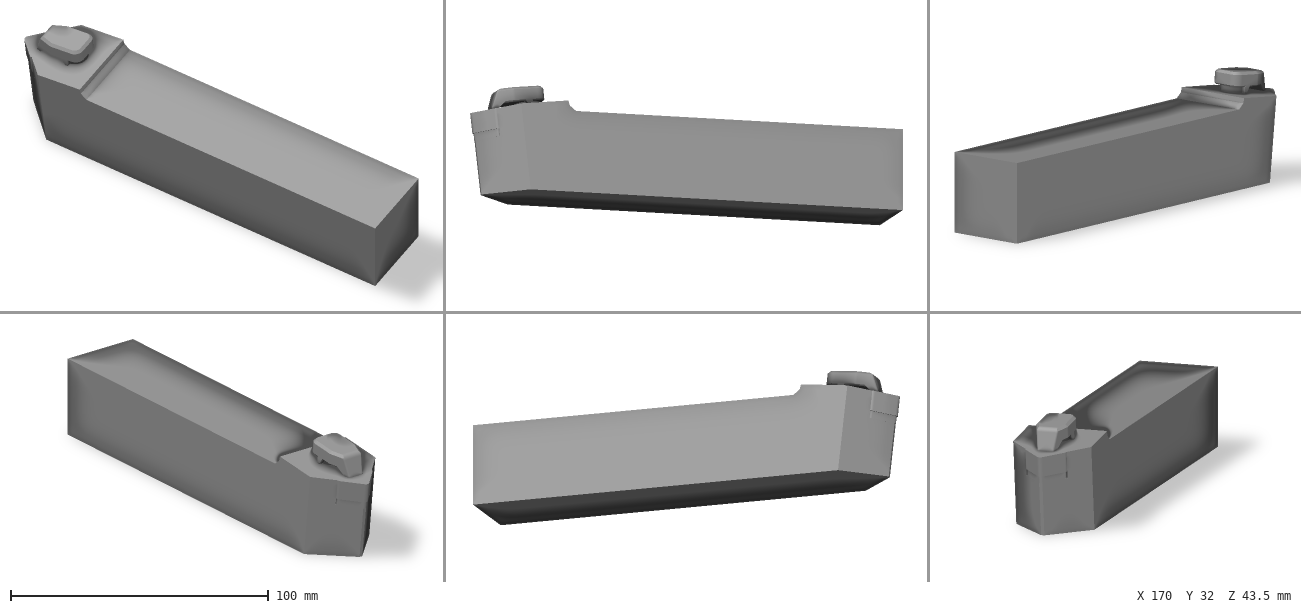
import cadquery as cq
import math

LENGTH = 170.0
SHANK_SIDE = 32.0
HALF_WIDTH = SHANK_SIDE / 2

HEAD_TILT = math.radians(6.5)
CREST_X = 35.0
STEP_WALL_FOOT_X = 35.5
STEP_END_X = 38.0
STEP_SLOPE_HEIGHT = 2.0
NOSE_U = 0.7
NOSE_HALF_WIDTH = 0.7

INSERT_SIDE = 12.8
INSERT_CORNER = 1.5
INSERT_THICKNESS = 8.0

SHIM_INSET = 0.42
SHIM_SIDE = INSERT_SIDE - 2 * SHIM_INSET
SHIM_CORNER = INSERT_CORNER - SHIM_INSET
SHIM_THICKNESS = 2.9
POCKET_DEPTH = INSERT_THICKNESS + SHIM_THICKNESS

CLAMP_TOP = 8.3
CLAMP_UNDERSIDE = 2.5
CLAMP_FRONT = 7.5
CLAMP_FRONT_LEAN = 3.4
CLAMP_BACK = 29.4
CLAMP_NOSE_HALF_WIDTH = 3.2
CLAMP_HALF_WIDTH = 6.5
CLAMP_TAPER_END = 16.5
CLAMP_FOOT_END = 9.7
CLAMP_ARCH_START = 12.5
CLAMP_BACK_CORNER = 3.4
CLAMP_TAPER_ROUND = 2.5
CLAMP_TOP_CHAMFER = 1.0
CLAMP_FRONT_ROUND = 2.4
CLAMP_NOSE_ROUND = 0.7
CLAMP_BOTTOM_CHAMFER = 0.5

SCREW_DIAMETER = 9.9
SCREW_U = 23.5
RIB_FRONT = 22.6
RIB_BACK = 23.8
RIB_TOP_FRONT = 20.9

TIP = (0, 0, SHANK_SIDE)
ALONG = (math.cos(HEAD_TILT), 0, math.sin(HEAD_TILT))
UP = (-math.sin(HEAD_TILT), 0, math.cos(HEAD_TILT))
FACE_PLANE = cq.Plane(origin=TIP, xDir=ALONG, normal=UP)
SIDE_PLANE = cq.Plane(origin=TIP, xDir=ALONG, normal=(0, -1, 0))

ALONG_UP = cq.selectors.ParallelDirSelector(cq.Vector(*UP))
TOPMOST = cq.selectors.DirectionMinMaxSelector(cq.Vector(*UP))


def rounded_corner_setback(radius):
    """Distance that rounding a right-angled corner moves its tip back."""
    return radius * (math.sqrt(2) - 1)


INSERT_CENTER_U = INSERT_SIDE / math.sqrt(2) - rounded_corner_setback(INSERT_CORNER)


def square_plate(side, corner_radius, top, thickness):
    """Plate standing on one corner, its top at height `top` relative to the head face."""
    return (
        cq.Workplane(FACE_PLANE)
        .workplane(offset=top - thickness)
        .center(INSERT_CENTER_U, 0)
        .transformed(rotate=(0, 0, 45))
        .rect(side, side)
        .extrude(thickness)
        .edges(ALONG_UP)
        .fillet(corner_radius)
    )


def make_insert():
    return square_plate(INSERT_SIDE, INSERT_CORNER, 0, INSERT_THICKNESS)


def make_bar():
    """Shank and raised head, cut to the pointed head outline."""
    crest_z = SHANK_SIDE + CREST_X * math.tan(HEAD_TILT)
    bar = (
        cq.Workplane("XZ")
        .lineTo(LENGTH, 0)
        .lineTo(LENGTH, SHANK_SIDE)
        .lineTo(STEP_END_X, SHANK_SIDE)
        .lineTo(STEP_WALL_FOOT_X, SHANK_SIDE + STEP_SLOPE_HEIGHT)
        .lineTo(CREST_X, crest_z)
        .lineTo(0, SHANK_SIDE)
        .close()
        .extrude(HALF_WIDTH, both=True)
    )
    reach = 1.5 * LENGTH
    far_half_width = NOSE_HALF_WIDTH + reach
    wedge = (
        cq.Workplane(FACE_PLANE)
        .polyline([
            (NOSE_U, -NOSE_HALF_WIDTH),
            (NOSE_U + reach, -far_half_width),
            (NOSE_U + reach, far_half_width),
            (NOSE_U, NOSE_HALF_WIDTH),
        ])
        .close()
        .extrude(reach, both=True)
    )
    return bar.intersect(wedge)


def make_clamp_arm():
    """Tapered arm with an inclined front and a foot at its nose."""
    plan = (
        cq.Workplane(FACE_PLANE)
        .polyline([
            (CLAMP_FRONT, -CLAMP_NOSE_HALF_WIDTH),
            (CLAMP_TAPER_END, -CLAMP_HALF_WIDTH),
            (CLAMP_BACK, -CLAMP_HALF_WIDTH),
            (CLAMP_BACK, CLAMP_HALF_WIDTH),
            (CLAMP_TAPER_END, CLAMP_HALF_WIDTH),
            (CLAMP_FRONT, CLAMP_NOSE_HALF_WIDTH),
        ])
        .close()
        .extrude(CLAMP_TOP)
    )
    plan = plan.edges(ALONG_UP).edges(">X").fillet(CLAMP_BACK_CORNER)
    plan = plan.edges(ALONG_UP).edges(">Y or <Y").edges("<X").fillet(CLAMP_TAPER_ROUND)
    plan = plan.faces(TOPMOST).chamfer(CLAMP_TOP_CHAMFER)

    front_top = CLAMP_FRONT + CLAMP_FRONT_LEAN
    front_length = math.hypot(CLAMP_FRONT_LEAN, CLAMP_TOP)
    lean_angle = math.atan2(CLAMP_FRONT_LEAN, CLAMP_TOP)
    round_setback = CLAMP_FRONT_ROUND * math.tan((math.pi / 2 - lean_angle) / 2)
    front_fraction = 1 - round_setback / front_length
    profile = (
        cq.Workplane(SIDE_PLANE)
        .moveTo(CLAMP_FRONT, 0)
        .lineTo(CLAMP_FOOT_END, 0)
        .lineTo(CLAMP_ARCH_START, CLAMP_UNDERSIDE)
        .lineTo(CLAMP_BACK, CLAMP_UNDERSIDE)
        .lineTo(CLAMP_BACK, CLAMP_TOP)
        .lineTo(front_top + round_setback, CLAMP_TOP)
        .tangentArcPoint(
            (CLAMP_FRONT + front_fraction * CLAMP_FRONT_LEAN, front_fraction * CLAMP_TOP),
            relative=False,
        )
        .close()
        .extrude(CLAMP_HALF_WIDTH, both=True)
    )
    arm = plan.intersect(profile)
    arm = arm.faces("<X").edges("not |Y").fillet(CLAMP_NOSE_ROUND)
    return arm.faces(">X").edges("<Z").chamfer(CLAMP_BOTTOM_CHAMFER)


def make_clamp_supports():
    """Screw and cross rib that carry the clamp above the head face."""
    screw = (
        cq.Workplane(FACE_PLANE)
        .center(SCREW_U, 0)
        .circle(SCREW_DIAMETER / 2)
        .extrude(CLAMP_UNDERSIDE)
    )
    rib_top = CLAMP_UNDERSIDE + CLAMP_BOTTOM_CHAMFER
    rib = (
        cq.Workplane(SIDE_PLANE)
        .polyline([
            (RIB_FRONT, 0),
            (RIB_BACK, 0),
            (RIB_BACK, rib_top),
            (RIB_TOP_FRONT, rib_top),
        ])
        .close()
        .extrude(CLAMP_HALF_WIDTH, both=True)
    )
    return screw.union(rib)


def make_holder():
    pocket = square_plate(INSERT_SIDE, INSERT_CORNER, 0, POCKET_DEPTH)
    shim = square_plate(SHIM_SIDE, SHIM_CORNER, -INSERT_THICKNESS, SHIM_THICKNESS)
    return (
        make_bar()
        .cut(pocket)
        .union(shim)
        .union(make_clamp_supports())
        .union(make_clamp_arm())
    )


insert = make_insert()
holder = make_holder()
result = cq.Compound.makeCompound([*holder.solids().vals(), insert.val()])